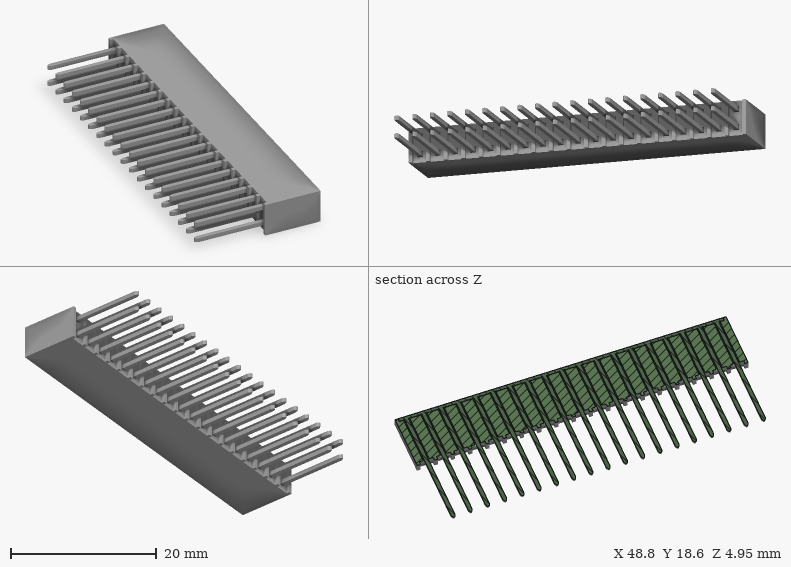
import cadquery as cq

length = 48.75
height = 4.95
housing_depth = 8.5
overall_depth = 18.55

columns = 19
rib_width = 0.55
rib_depth = 0.5
pitch = (length - rib_width) / columns
slot_width = pitch - rib_width
column_centres = [(i - (columns - 1) / 2) * pitch for i in range(columns)]
row_centres = [-pitch / 2, pitch / 2]
pin_centres = [(x, z) for x in column_centres for z in row_centres]

pin_width = 0.65
tip_width = 0.25
tip_length = 0.4
hole_width = 0.85

carrier_length = length - 2 * rib_width
carrier_height = pitch + hole_width
carrier_thickness = 0.5

front_y = -housing_depth / 2
back_y = housing_depth / 2
slot_floor_y = front_y + rib_depth
carrier_front_y = back_y - carrier_thickness
tip_y = back_y - overall_depth
taper_start_y = tip_y + tip_length


def box_between(x_size, y_start, y_end, z_size, x=0.0, z=0.0):
    """Box spanning y_start to y_end, centred on x and z."""
    return cq.Workplane("XY").box(x_size, y_end - y_start, z_size).translate((x, (y_start + y_end) / 2, z))


def make_carrier_strip():
    """Bar flush with the back face; it also shapes the matching recess."""
    return box_between(carrier_length, carrier_front_y, back_y, carrier_height)


def make_housing():
    """Block with open slots between ribs, pin holes and a recess for the carrier."""
    housing = box_between(length, front_y, back_y, height)
    for x in column_centres:
        housing = housing.cut(box_between(slot_width, front_y, slot_floor_y, height, x))
    for x, z in pin_centres:
        housing = housing.cut(box_between(hole_width, slot_floor_y, carrier_front_y, hole_width, x, z))
    return housing.cut(make_carrier_strip()).solids()


def make_pin(x, z):
    """Square pin running forward from the carrier to its tapered tip."""
    half_width = pin_width / 2
    half_tip = tip_width / 2
    outline = [
        (-half_width, carrier_front_y),
        (-half_width, taper_start_y),
        (-half_tip, tip_y),
        (half_tip, tip_y),
        (half_width, taper_start_y),
        (half_width, carrier_front_y),
    ]
    return cq.Workplane("XY").polyline(outline).close().extrude(half_width, both=True).translate((x, 0, z))


def make_contact_set():
    """All pins and the strip that joins them, as one solid."""
    contact_set = make_carrier_strip()
    for x, z in pin_centres:
        contact_set = contact_set.union(make_pin(x, z))
    return contact_set.solids()


housing = make_housing()
contact_set = make_contact_set()

result = cq.Compound.makeCompound([housing.val(), contact_set.val()])